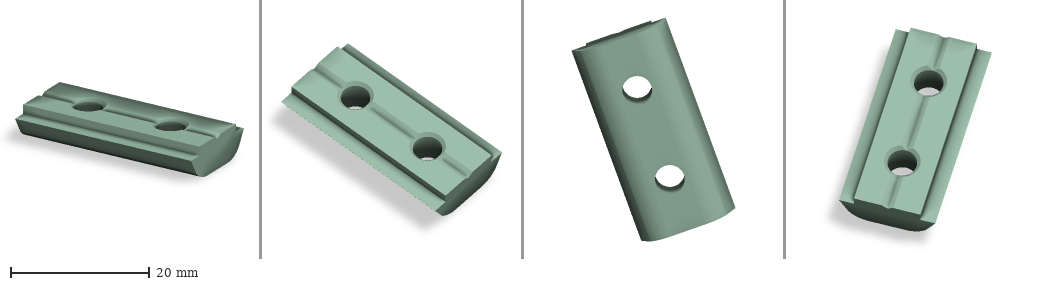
import cadquery as cq
import math

length = 30.0
width = 14.5
height = 5.3

rail_width = 10.0
rail_height = 1.45
flank_angle = 60.0
bottom_radius = 4.0
flank_foot_z = 1.4
groove_width = 1.8
groove_depth = 0.5

hole_diameter = 4.3
countersink_diameter = 5.3
hole_spacing = 14.0

shoulder_z = height - rail_height
flank_foot_y = width / 2 - (shoulder_z - flank_foot_z) / math.tan(math.radians(flank_angle))

arc_angle = math.acos(1 - flank_foot_z / bottom_radius)
base_half_width = flank_foot_y - bottom_radius * math.sin(arc_angle)
arc_mid_y = base_half_width + bottom_radius * math.sin(arc_angle / 2)
arc_mid_z = bottom_radius * (1 - math.cos(arc_angle / 2))


def make_body():
    """Stepped bar with tapered flanks and rounded lower edges."""
    profile = (
        cq.Workplane("YZ")
        .moveTo(-base_half_width, 0)
        .lineTo(base_half_width, 0)
        .threePointArc((arc_mid_y, arc_mid_z), (flank_foot_y, flank_foot_z))
        .lineTo(width / 2, shoulder_z)
        .lineTo(rail_width / 2, shoulder_z)
        .lineTo(rail_width / 2, height)
        .lineTo(groove_width / 2, height)
        .lineTo(0, height - groove_depth)
        .lineTo(-groove_width / 2, height)
        .lineTo(-rail_width / 2, height)
        .lineTo(-rail_width / 2, shoulder_z)
        .lineTo(-width / 2, shoulder_z)
        .lineTo(-flank_foot_y, flank_foot_z)
        .threePointArc((-arc_mid_y, arc_mid_z), (-base_half_width, 0))
        .close()
    )
    return profile.extrude(length / 2, both=True)


def make_hole(x):
    """Cutter for one countersunk through hole centred at x."""
    hole_radius = hole_diameter / 2
    countersink_radius = countersink_diameter / 2
    countersink_depth = countersink_radius - hole_radius
    bore = cq.Workplane("XY").center(x, 0).circle(hole_radius).extrude(height)
    cone = cq.Solid.makeCone(
        hole_radius,
        countersink_radius,
        countersink_depth,
        pnt=cq.Vector(x, 0, height - countersink_depth),
    )
    return bore.union(cq.Workplane(cone))


result = make_body()
for hole_x in (-hole_spacing / 2, hole_spacing / 2):
    result = result.cut(make_hole(hole_x))